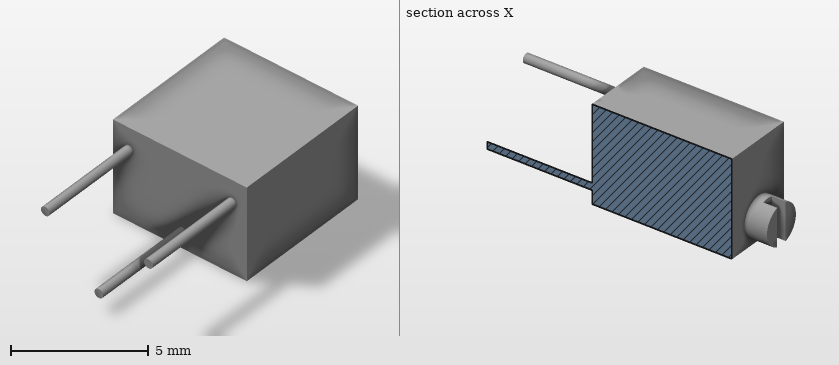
import cadquery as cq

total_length = 12.14

body_width = 6.35
body_length = 6.35
body_height = 4.32

screw_diameter = 1.77
screw_length = 1.02
screw_x = -1.65
screw_z = -1.12
slot_width = 0.52
slot_depth = 0.63

pin_diameter = 0.41
pin_length = total_length - body_length - screw_length
upper_pin_z = 1.14
lower_pin_z = -1.4
pin_positions = [(-2.42, upper_pin_z), (0.12, lower_pin_z), (2.48, upper_pin_z)]

front_y = -body_length / 2
rear_y = body_length / 2


def rod(x, z, start_y, diameter, length):
    """Round rod running from start_y towards +Y."""
    start = cq.Vector(x, start_y, z)
    return cq.Workplane(cq.Solid.makeCylinder(diameter / 2, length, start, cq.Vector(0, 1, 0)))


def slotted_screw():
    """Screw head with a driver slot running through it along Z."""
    head = rod(screw_x, screw_z, rear_y, screw_diameter, screw_length)
    slot_center_y = rear_y + screw_length - slot_depth / 2
    slot = cq.Workplane("XY").box(slot_width, slot_depth, screw_diameter)
    return head.cut(slot.translate((screw_x, slot_center_y, screw_z)))


result = cq.Workplane("XY").box(body_width, body_length, body_height)
result = result.union(slotted_screw())
for pin_x, pin_z in pin_positions:
    result = result.union(rod(pin_x, pin_z, front_y - pin_length, pin_diameter, pin_length))